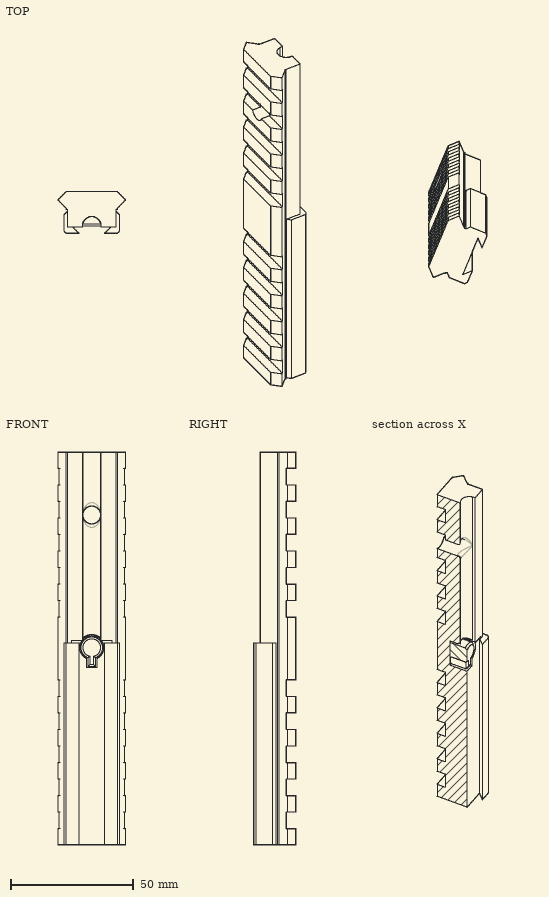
import cadquery as cq


length = 160.5
width = 27.8
half_width = width / 2
back_half_width = 10.6
neck_half_width = 10.5
stem_half_width = 10.0
back_lip = 0.2
neck_height = 0.5
tip_depth = back_lip + half_width - back_half_width
neck_depth = tip_depth + half_width - neck_half_width
stem_depth = neck_depth + neck_height
rail_depth = 14.6

slot_width = 6.7
slot_depth = 3.9
slots_per_end = 5
end_slot_z = 10.0
inner_slot_z = 64.0
slot_pitch = (inner_slot_z - end_slot_z) / (slots_per_end - 1)

foot_length = 82.5
foot_half_width = 11.4
foot_start_depth = 8.0
foot_depth = 17.2
foot_chamfer = 1.0
foot_slope = foot_half_width - stem_half_width

channel_depth = 14.1
mouth_half_width = 5.1
channel_half_width = mouth_half_width + foot_depth - channel_depth
runout_length = 1.0

groove_radius = 3.7
groove_centre_depth = 14.0
groove_top_depth = groove_centre_depth - groove_radius

hole_diameter = 7.2
hole_radius = hole_diameter / 2
hole_z = 134.8
hole_rounding = 1.5

pin_z = 80.5
pin_diameter = 8.8
pin_radius = pin_diameter / 2
pin_length = 8.0
pin_chamfer = 0.8
tab_half_width = 1.6
tab_reach = 7.7
socket_gap = 0.5
countersink = 0.5


def mirrored_section(right_side, height):
    """Extrude along Z an outline given by its +X half, closed across X = 0."""
    left_side = [(-x, y) for x, y in reversed(right_side)]
    return cq.Workplane("XY").polyline(right_side + left_side).close().extrude(height)


def y_cylinder(radius, z, front_depth, back_depth):
    """Cylinder along Y between two depths."""
    return (
        cq.Workplane("XZ", origin=(0, -back_depth, z))
        .circle(radius)
        .extrude(front_depth - back_depth)
    )


def keyhole(front_depth, thickness, margin=0.0):
    """Disc with a straight tab pointing to -Z, grown all round by the margin."""
    half_tab = tab_half_width + margin
    reach = tab_reach + margin
    disc = y_cylinder(pin_radius + margin, pin_z, front_depth, front_depth - thickness)
    tab = (
        cq.Workplane("XY")
        .box(2 * half_tab, thickness, reach, centered=(True, False, False))
        .translate((0, -front_depth, pin_z - reach))
    )
    return disc.union(tab)


def rail_blank():
    return mirrored_section(
        [
            (back_half_width, 0),
            (back_half_width, -back_lip),
            (half_width, -tip_depth),
            (neck_half_width, -neck_depth),
            (neck_half_width, -stem_depth),
            (stem_half_width, -stem_depth),
            (stem_half_width, -rail_depth),
        ],
        length,
    )


def foot_blank():
    return mirrored_section(
        [
            (stem_half_width, -foot_start_depth),
            (foot_half_width, -(foot_start_depth + foot_slope)),
            (foot_half_width, -(foot_depth - foot_chamfer)),
            (foot_half_width - foot_chamfer, -foot_depth),
        ],
        foot_length,
    )


def dovetail_channel():
    """Dovetail slot through the foot, its floor ramping out just above the foot."""
    slot = mirrored_section(
        [
            (channel_half_width, -channel_depth),
            (mouth_half_width, -foot_depth),
        ],
        foot_length,
    )
    runout = (
        cq.Workplane("YZ", origin=(-channel_half_width, 0, foot_length))
        .polyline([(-channel_depth, 0), (-rail_depth, 0), (-rail_depth, runout_length)])
        .close()
        .extrude(2 * channel_half_width)
    )
    return slot.union(runout)


def groove():
    """Round-bottomed groove from the pin to the upper end, open to the front."""
    run = length - pin_z
    round_bottom = (
        cq.Workplane("XY", origin=(0, -groove_centre_depth, pin_z))
        .circle(groove_radius)
        .extrude(run)
    )
    opening = (
        cq.Workplane("XY", origin=(0, -groove_centre_depth, pin_z))
        .rect(2 * groove_radius, 2 * (rail_depth - groove_centre_depth))
        .extrude(run)
    )
    return round_bottom.union(opening)


def rounded_cross_hole(rail):
    """Drill the hole through the rail and round its rim in the groove."""
    drilled = rail.cut(y_cylinder(hole_radius, hole_z, rail_depth, 0))
    rim_zone = cq.selectors.BoxSelector(
        (-groove_radius, -rail_depth, hole_z - hole_radius),
        (groove_radius, -groove_top_depth + hole_radius, hole_z + hole_radius),
    )
    rim = drilled.edges(rim_zone).edges("%BSPLINE")
    return rim.fillet(hole_rounding)


def socket():
    """Blind keyhole pocket, a little larger than the pin all round."""
    return keyhole(rail_depth, rail_depth - channel_depth + pin_length, socket_gap)


def socket_countersink():
    """45 degree countersink where the socket opens into the groove bottom."""
    inner_radius = pin_radius + socket_gap
    rim_radius = inner_radius + countersink
    cone = (
        cq.Workplane("XZ", origin=(0, -groove_top_depth, pin_z))
        .circle(rim_radius)
        .workplane(offset=-countersink)
        .circle(inner_radius)
        .loft()
    )
    rim = y_cylinder(rim_radius, pin_z, rail_depth, groove_top_depth)
    above_pin = (
        cq.Workplane("XY", origin=(0, 0, pin_z))
        .rect(2 * groove_radius, 2 * rail_depth)
        .extrude(2 * rim_radius)
    )
    return cone.union(rim).intersect(above_pin)


def build_rail():
    rail = rail_blank().union(foot_blank())
    for i in range(slots_per_end):
        z = end_slot_z + i * slot_pitch
        for slot_z in (z, length - z):
            slot = cq.Workplane("XY").box(width, 2 * slot_depth, slot_width)
            rail = rail.cut(slot.translate((0, 0, slot_z)))
    rail = rail.cut(dovetail_channel())
    rail = rail.cut(groove())
    rail = rounded_cross_hole(rail)
    return rail.cut(socket()).cut(socket_countersink())


def build_pin():
    return keyhole(channel_depth, pin_length).faces("<Y").chamfer(pin_chamfer)


rail = build_rail()
pin = build_pin()
result = cq.Compound.makeCompound([rail.val(), pin.val()])